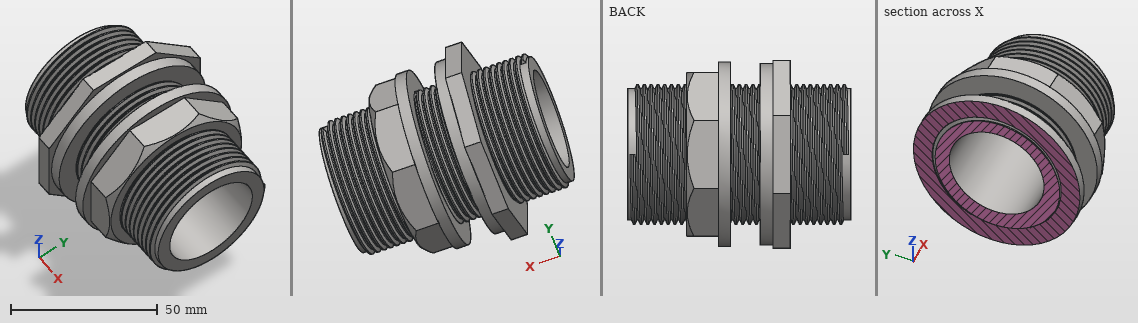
import cadquery as cq


tube_length = 76.0
bore_d = 34.95
collar_flats = 64.0
collar_start = 20.6
collar_width = 5.9
collar_end = collar_start + collar_width

core_d = 44.85
thread_d = 47.7
thread_root_width = 1.8
thread_crest_width = 0.5
thread_sink = 0.2
thread_end_inset = 1.7
front_turns = 9
rear_turns = 21
rear_thread_length = 48.5
thread_pitch = rear_thread_length / rear_turns

gasket_d = 61.95
gasket_width = 4.3
gasket_bore_d = thread_d

nut_bore_d = thread_d
nut_start = 41.0
nut_flange_d = 62.9
nut_flange_width = 4.1
nut_flats = 55.85
nut_octagon_width = 10.95
nut_end_d = 55.25


def plane_across_axis(start):
    return cq.Workplane(cq.Plane(origin=(start, 0, 0), xDir=(0, 0, 1), normal=(1, 0, 0)))


def cylinder(start, length, diameter):
    return plane_across_axis(start).circle(diameter / 2).extrude(length)


def octagon(start, length, flats):
    """Octagonal prism with one pair of flats level, facing up and down."""
    return plane_across_axis(start).polygon(8, flats, circumscribed=True).extrude(length)


def make_thread(start, turns):
    """Helical ridge whose middle starts at X = start on the +Y side of the core."""
    flank_slope = (thread_root_width - thread_crest_width) / (thread_d - core_d)
    crest_r = thread_d / 2
    sunk_r = core_d / 2 - thread_sink
    half_crest = thread_crest_width / 2
    half_sunk = thread_root_width / 2 + flank_slope * thread_sink
    profile = [
        (sunk_r, -half_sunk),
        (crest_r, -half_crest),
        (crest_r, half_crest),
        (sunk_r, half_sunk),
    ]

    edges = [
        cq.Wire.makeHelix(thread_pitch, thread_pitch, radius).translate(cq.Vector(0, 0, offset))
        for radius, offset in profile
    ]
    next_edges = edges[1:] + edges[:1]
    one_turn = [cq.Face.makeRuledSurface(edge, after) for edge, after in zip(edges, next_edges)]

    turn_steps = [cq.Vector(0, 0, turn * thread_pitch) for turn in range(turns + 1)]
    end_profile = cq.Wire.makePolygon([edge.startPoint() for edge in edges], close=True)
    end_face = cq.Face.makeFromWires(end_profile)
    faces = [end_face, end_face.translate(turn_steps[-1])]
    for step in turn_steps[:-1]:
        faces += [face.translate(step) for face in one_turn]

    ridge = cq.Solid.makeSolid(cq.Shell.makeShell(faces)).fix()

    return ridge.moved(cq.Location(cq.Plane.YZ())).translate(cq.Vector(start, 0, 0))


def make_fitting():
    rear_thread_start = tube_length - thread_end_inset - rear_thread_length
    front_thread = make_thread(thread_end_inset, front_turns)
    rear_thread = make_thread(rear_thread_start, rear_turns)

    tube = cylinder(0, tube_length, core_d)
    collar = octagon(collar_start, collar_width, collar_flats)
    blank = tube.union(collar).cut(cylinder(0, tube_length, bore_d))
    return blank.val().fuse(front_thread, rear_thread).Solids()[0]


def make_gasket():
    ring = cylinder(collar_end, gasket_width, gasket_d)
    return ring.cut(cylinder(collar_end, gasket_width, gasket_bore_d))


def make_nut():
    octagon_start = nut_start + nut_flange_width
    nut_end = octagon_start + nut_octagon_width
    cone = cq.Solid.makeCone(
        nut_end_d / 2 + nut_octagon_width, nut_end_d / 2, nut_octagon_width,
        cq.Vector(octagon_start, 0, 0), cq.Vector(1, 0, 0),
    )
    body = octagon(octagon_start, nut_octagon_width, nut_flats).intersect(cq.Workplane(cone))
    body = body.union(cylinder(nut_start, nut_flange_width, nut_flange_d))
    return body.cut(cylinder(nut_start, nut_end - nut_start, nut_bore_d))


fitting = make_fitting()
gasket = make_gasket()
nut = make_nut()

result = cq.Compound.makeCompound([fitting, gasket.val(), nut.val()])